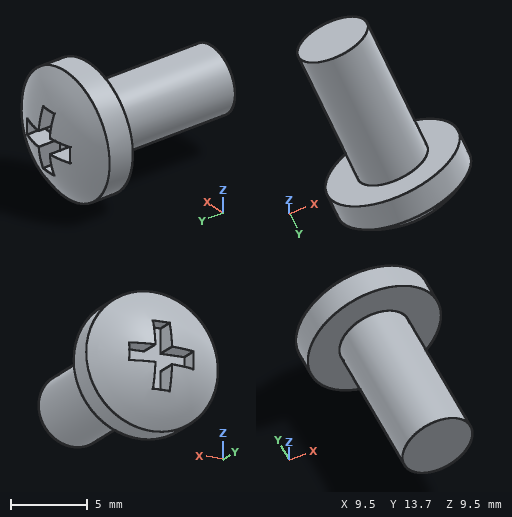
import cadquery as cq

overall_length = 13.65
shank_diameter = 5.0
shank_length = 10.0
head_diameter = 9.5
rim_height = 1.9
slot_width = 1.2
slot_length = 4.64

head_radius = head_diameter / 2
shank_radius = shank_diameter / 2
slot_corner_radius = slot_width / 2 * 2**0.5
rim_top = shank_length + rim_height

corner_rise = overall_length - rim_top
center_drop = (head_radius**2 - slot_corner_radius**2 - corner_rise**2) / (2 * corner_rise)
dome_radius = (head_radius**2 + center_drop**2) ** 0.5
apex = rim_top - center_drop + dome_radius


def make_body():
    """Revolve the half outline of shank, rim and dome about the Y axis."""
    mid_radius = head_radius / 2
    mid_height = rim_top - center_drop + (dome_radius**2 - mid_radius**2) ** 0.5
    return (
        cq.Workplane("XY")
        .lineTo(shank_radius, 0)
        .lineTo(shank_radius, shank_length)
        .lineTo(head_radius, shank_length)
        .lineTo(head_radius, rim_top)
        .threePointArc((mid_radius, mid_height), (0, apex))
        .close()
        .revolve(360, (0, 0, 0), (0, 1, 0))
    )


def make_cross_recess():
    """Two crossing slots with square ends, sunk from the dome to the rim top."""
    depth = apex - rim_top
    middle = (0, rim_top + depth / 2, 0)
    along_x = cq.Workplane("XY").box(slot_length, depth, slot_width).translate(middle)
    along_z = cq.Workplane("XY").box(slot_width, depth, slot_length).translate(middle)
    return along_x.union(along_z)


result = make_body().cut(make_cross_recess())